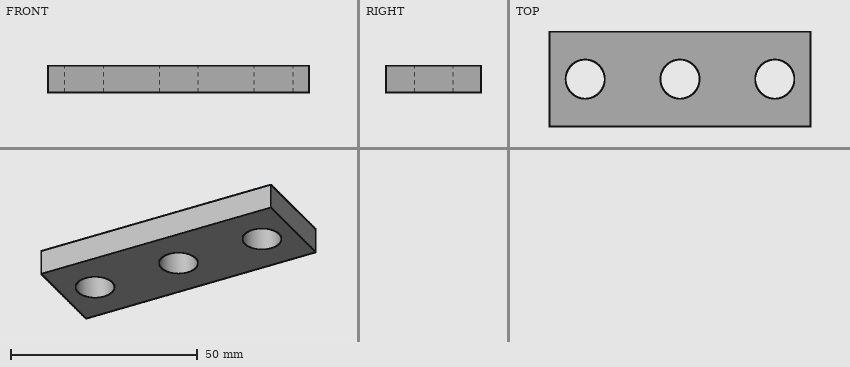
import cadquery as cq

length = 69.85
width = 25.4
thickness = 7.25

hole_diameter = 10.4
hole_spacing = 25.35
hole_count = 3

plate = cq.Workplane("XY").box(length, width, thickness)

result = (
    plate.faces(">Z")
    .workplane()
    .rarray(hole_spacing, 0.7, hole_count, 1)
    .hole(hole_diameter)
)